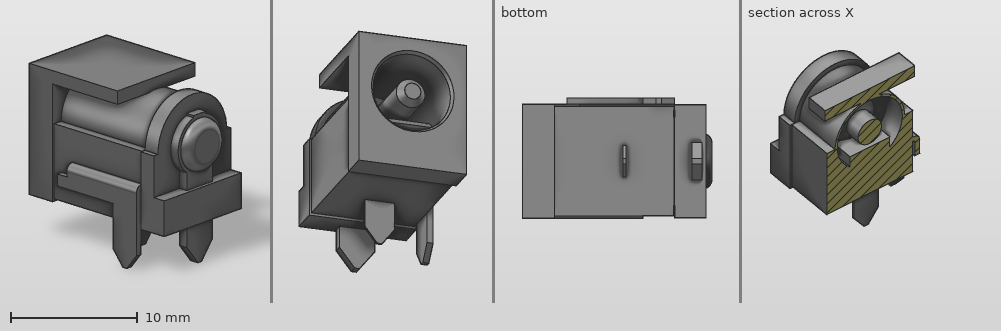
import cadquery as cq


housing_width = 9.0
housing_height = 11.0
front_thickness = 2.51
roof_length = 9.5
roof_underside = 9.88
body_width = 8.61
body_bottom = 0.2
body_end = 11.96
barrel_radius = 3.5
axis_z = 6.5

flange_start = 12.0
flange_end = 13.38
flange_radius = 4.0
flange_width = 8.95
foot_end = 14.5
foot_height = 3.0

bore_radius = 3.23
bore_depth = 9.5
mouth_radius = 3.45
mouth_chamfer_depth = 0.27
pin_radius = 1.2
pin_tip_radius = 0.67
pin_tip_length = 0.52
cone_radius = 2.0
cone_length = 0.54

leg_bottom = -3.4
leg_tip_half_width = 0.21
leg_shoulder = -2.1

terminal_end = 14.18
terminal_radius = 2.5
terminal_leg_half_width = 1.48
terminal_shoulder = -1.8
tab_half_width = 0.7
tab_top = 9.07
rivet_end = 14.97
rivet_radius = 2.2

spring_width = 4.0
spring_nose_x = 1.11
spring_nose_z = 4.09
spring_crest_x = 3.0
spring_top_z = 4.99
spring_bottom_z = 3.23
spring_leg_start = 7.95
spring_leg_thickness = 0.21
spring_leg_half_width = 1.23

side_thickness = 0.51
side_outer_y = -(housing_width / 2 + side_thickness)
side_top = 3.75
side_bend_radius = 0.6
side_inner_bend_radius = side_bend_radius - side_thickness
side_embed = 0.3
side_strip_start = 4.52
side_tongue_start = 3.52
side_tongue_top = 2.71
side_strip_bottom = 1.7


def block(x_start, x_end, width, z_bottom, z_top):
    """Box between two X and two Z levels, centred on Y = 0."""
    size = (x_end - x_start, width, z_top - z_bottom)
    return cq.Workplane("XY").box(*size, centered=(False, True, False)).translate((x_start, 0, z_bottom))


def axial_disc(x_start, x_end, radius):
    """Cylinder around the plug axis."""
    return cq.Workplane("YZ", origin=(x_start, 0, axis_z)).circle(radius).extrude(x_end - x_start)


def revolve_about_axis(profile):
    """Revolve (x, radius) points around the plug axis."""
    sketch = cq.Workplane("XZ", origin=(0, 0, axis_z)).polyline(profile).close()
    return sketch.revolve(360, (0, 0, 0), (1, 0, 0))


def pointed_leg(x_start, x_end, half_width, shoulder_z, top_z):
    """Flat leg across Y that tapers to a blunt point."""
    return (
        cq.Workplane("YZ", origin=(x_start, 0, 0))
        .moveTo(-half_width, top_z)
        .lineTo(-half_width, shoulder_z)
        .lineTo(-leg_tip_half_width, leg_bottom)
        .lineTo(leg_tip_half_width, leg_bottom)
        .lineTo(half_width, shoulder_z)
        .lineTo(half_width, top_z)
        .close()
        .extrude(x_end - x_start)
    )


def make_housing():
    front = block(0, front_thickness, housing_width, 0, housing_height)
    roof = block(0, roof_length, housing_width, roof_underside, housing_height)
    body = block(0, body_end, body_width, body_bottom, axis_z)
    barrel = axial_disc(0, flange_start, barrel_radius)
    flange = axial_disc(flange_start, flange_end, flange_radius)
    flange_base = block(flange_start, flange_end, flange_width, 0, axis_z)
    foot = block(flange_start, foot_end, flange_width, 0, foot_height)
    return front.union(roof).union(body).union(barrel).union(flange).union(flange_base).union(foot)


def make_opening():
    return revolve_about_axis([
        (0, 0),
        (0, mouth_radius),
        (mouth_chamfer_depth, bore_radius),
        (bore_depth, bore_radius),
        (bore_depth, 0),
    ])


def make_centre_pin():
    """Pin with a chamfered tip and a conical root that sits in the bore floor."""
    return revolve_about_axis([
        (0, 0),
        (0, pin_tip_radius),
        (pin_tip_length, pin_radius),
        (bore_depth - cone_length, pin_radius),
        (bore_depth, cone_radius),
        (flange_start, cone_radius),
        (flange_start, 0),
    ])


def make_terminal():
    disc = axial_disc(flange_end, terminal_end, terminal_radius)
    tab = block(flange_end, terminal_end, 2 * tab_half_width, axis_z, tab_top)
    leg = pointed_leg(flange_end, terminal_end, terminal_leg_half_width, terminal_shoulder, axis_z)
    return disc.union(tab).union(leg)


def make_rivet_head():
    """Round button whose whole edge is a quarter circle."""
    edge_round = rivet_end - terminal_end
    profile = (
        cq.Workplane("XZ", origin=(0, 0, axis_z))
        .moveTo(flange_start, 0)
        .lineTo(flange_start, rivet_radius)
        .lineTo(terminal_end, rivet_radius)
        .radiusArc((rivet_end, rivet_radius - edge_round), edge_round)
        .lineTo(rivet_end, 0)
        .close()
    )
    return profile.revolve(360, (0, 0, 0), (1, 0, 0))


def crest_radius(run, rise):
    """Radius of an arc that levels out after the given run and rise."""
    return (run**2 + rise**2) / (2 * rise)


def make_spring():
    """Contact with a lens-shaped nose in the bore and a flat leg under the body."""
    run = spring_crest_x - spring_nose_x
    upper_radius = crest_radius(run, spring_top_z - spring_nose_z)
    lower_radius = crest_radius(run, spring_nose_z - spring_bottom_z)
    nose = (
        cq.Workplane("XZ", origin=(0, spring_width / 2, 0))
        .moveTo(spring_nose_x, spring_nose_z)
        .radiusArc((spring_crest_x, spring_top_z), upper_radius)
        .lineTo(bore_depth, spring_top_z)
        .lineTo(bore_depth, spring_bottom_z)
        .lineTo(spring_crest_x, spring_bottom_z)
        .radiusArc((spring_nose_x, spring_nose_z), lower_radius)
        .close()
        .extrude(spring_width)
    )
    leg_end = spring_leg_start + spring_leg_thickness
    leg = pointed_leg(spring_leg_start, leg_end, spring_leg_half_width, leg_shoulder, spring_bottom_z)
    return nose.union(leg)


def make_side_contact():
    """Side strip with its leg, whose rounded top edge turns into the body."""
    leg_centre = (roof_length + flange_start) / 2
    plate_y = side_outer_y + side_thickness
    bend_y = side_outer_y + side_bend_radius
    bend_z = side_top - side_bend_radius
    embed_y = -body_width / 2 + side_embed
    section = (
        cq.Workplane("YZ")
        .moveTo(embed_y, side_top)
        .lineTo(bend_y, side_top)
        .radiusArc((side_outer_y, bend_z), -side_bend_radius)
        .lineTo(side_outer_y, leg_bottom)
        .lineTo(plate_y, leg_bottom)
        .lineTo(plate_y, bend_z)
        .radiusArc((bend_y, side_top - side_thickness), side_inner_bend_radius)
        .lineTo(embed_y, side_top - side_thickness)
        .close()
        .extrude(flange_start)
    )
    outline = (
        cq.Workplane("XZ")
        .moveTo(side_strip_start, side_top)
        .lineTo(flange_start, side_top)
        .lineTo(flange_start, leg_shoulder)
        .lineTo(leg_centre + leg_tip_half_width, leg_bottom)
        .lineTo(leg_centre - leg_tip_half_width, leg_bottom)
        .lineTo(roof_length, leg_shoulder)
        .lineTo(roof_length, side_strip_bottom)
        .lineTo(side_tongue_start, side_strip_bottom)
        .lineTo(side_tongue_start, side_tongue_top)
        .lineTo(side_strip_start, side_tongue_top)
        .close()
        .extrude(-side_outer_y)
    )
    return section.intersect(outline)


result = make_housing().cut(make_opening())
result = result.union(make_centre_pin()).union(make_spring())
result = result.union(make_terminal()).union(make_rivet_head()).union(make_side_contact())